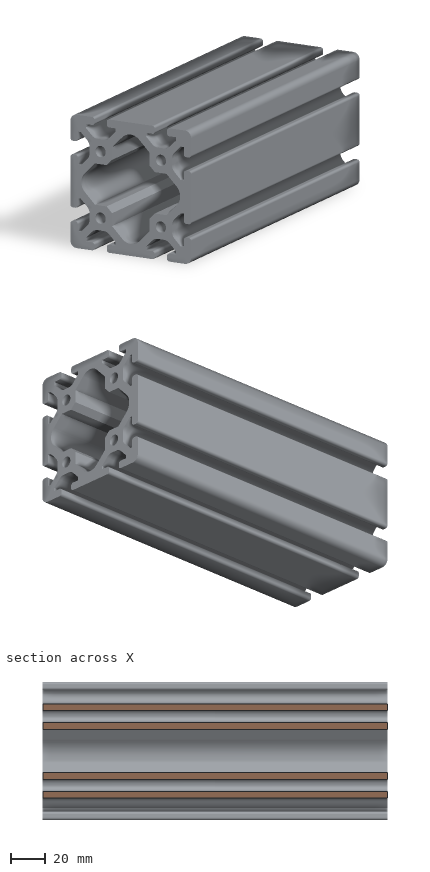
import cadquery as cq
import math

side = 80.0
length = 200.0
half_side = side / 2
corner_radius = 4.0

slot_offset = 20.0
slot_opening = 8.2
lip_thickness = 4.8
lip_radius = 1.5
cavity_width = 20.0
cavity_wall_height = 2.0
slot_depth = 12.5
slot_floor_width = 4.0

hole_diameter = 6.8

boss_half_width = 7.5
boss_chamfer = 3.5
tip_reach = 32.8
tip_radius = 8.0

quarter_turns = (0, 90, 180, 270)
half_diagonal = math.sqrt(0.5)


def extrude_full(profile):
    """Extrude an XZ profile over the full length, from the middle to both ends."""
    return profile.extrude(length / 2, both=True)


def rotate_about_length(solid, angle):
    return solid.rotate((0, 0, 0), (0, 1, 0), angle)


def make_body():
    block = extrude_full(cq.Workplane("XZ").rect(side, side))
    return block.edges("|Y").fillet(corner_radius)


def make_slot():
    """Cutter for one T-slot in the top face, centred on X = 0."""
    half_opening = slot_opening / 2
    half_cavity = cavity_width / 2
    half_floor = slot_floor_width / 2
    lip_top = half_side
    lip_bottom = half_side - lip_thickness
    wall_bottom = lip_bottom - cavity_wall_height
    floor = half_side - slot_depth

    flank_corner = half_cavity - (wall_bottom - floor)
    blend_tangent = flank_corner - half_floor
    blend_end = flank_corner + blend_tangent * half_diagonal
    blend_end_height = floor + blend_tangent * half_diagonal
    blend_radius = blend_tangent / math.tan(math.radians(22.5))

    profile = (
        cq.Workplane("XZ")
        .moveTo(-half_opening - lip_radius, lip_top)
        .radiusArc((-half_opening, lip_top - lip_radius), lip_radius)
        .lineTo(-half_opening, lip_bottom + lip_radius)
        .radiusArc((-half_opening - lip_radius, lip_bottom), lip_radius)
        .lineTo(-half_cavity, lip_bottom)
        .lineTo(-half_cavity, wall_bottom)
        .lineTo(-blend_end, blend_end_height)
        .radiusArc((-half_floor, floor), -blend_radius)
        .lineTo(half_floor, floor)
        .radiusArc((blend_end, blend_end_height), -blend_radius)
        .lineTo(half_cavity, wall_bottom)
        .lineTo(half_cavity, lip_bottom)
        .lineTo(half_opening + lip_radius, lip_bottom)
        .radiusArc((half_opening, lip_bottom + lip_radius), lip_radius)
        .lineTo(half_opening, lip_top - lip_radius)
        .radiusArc((half_opening + lip_radius, lip_top), lip_radius)
        .close()
    )
    return extrude_full(profile)


def make_screw_channels():
    centres = cq.Workplane("XZ").rect(2 * slot_offset, 2 * slot_offset, forConstruction=True)
    return extrude_full(centres.vertices().circle(hole_diameter / 2))


def make_central_cavity():
    boss_edge = slot_offset - boss_half_width
    chamfer_end = boss_edge + boss_chamfer
    tip_centre = tip_reach - tip_radius
    tangent_offset = tip_radius * half_diagonal
    web_start = tip_centre + 2 * tangent_offset - boss_edge

    quarter = [
        (-boss_edge, chamfer_end),
        (-boss_edge, web_start),
        (-tangent_offset, tip_centre + tangent_offset),
        (0, tip_reach),
        (tangent_offset, tip_centre + tangent_offset),
        (boss_edge, web_start),
        (boss_edge, chamfer_end),
    ]
    outline = cq.Workplane("XZ").moveTo(*quarter[0])
    for angle in quarter_turns:
        cosine = math.cos(math.radians(angle))
        sine = math.sin(math.radians(angle))
        turned = [(x * cosine + z * sine, z * cosine - x * sine) for x, z in quarter]
        start, web, arc_start, arc_middle, arc_end, web_end, end = turned
        if angle > 0:
            outline = outline.lineTo(*start)
        outline = outline.lineTo(*web).lineTo(*arc_start)
        outline = outline.threePointArc(arc_middle, arc_end)
        outline = outline.lineTo(*web_end).lineTo(*end)
    return extrude_full(outline.close())


result = make_body()
slot = make_slot()
for angle in quarter_turns:
    for offset in (-slot_offset, slot_offset):
        result = result.cut(rotate_about_length(slot.translate((offset, 0, 0)), angle))
result = result.cut(make_screw_channels())
result = result.cut(make_central_cavity())